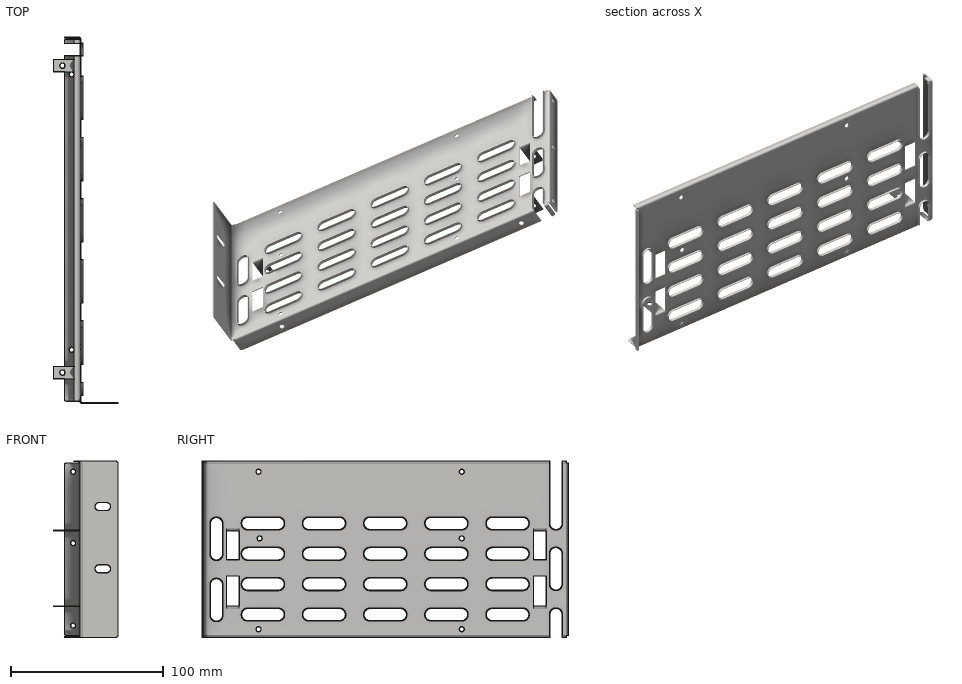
import cadquery as cq
import math

LENGTH = 240.0
WIDTH = 42.5
HEIGHT = 116.0

SHEET = 0.6
INNER_BEND = 0.7
BEND = SHEET + INNER_BEND
LEG = 2 * BEND
PANEL_OUT = 18.0
PANEL_IN = PANEL_OUT - SHEET
CUT = 4.8

FLANGE_EDGE = 7.2
TOP_FLANGE_EDGE = 13.7
BOTTOM_CORNER = 1.5
BACK_CORNER = 1.5
FRONT_CORNER = 2.0

SLOT_LENGTH = 27.8
SLOT_WIDTH = 8.0
RIM_WALL = 0.35
RIM_HEIGHT = 1.5
SLOT_COLUMNS = 5
SLOT_ROWS = 4
COLUMN_PITCH = 40.0
ROW_PITCH = 20.0
FIRST_ROW_Z = 15.0
FRONT_SLOT_Y = 9.4
FRONT_SLOT_Z = (24.7, 64.8)
BACK_SLOT_Y = LENGTH - 8.2
BACK_SLOT_Z = 45.0
UPPER_NOTCH_END = 70.8
LOWER_NOTCH_END = 19.2

TAB_WIDTH = 8.2
TAB_Y = (20.2, LENGTH - 18.7)
TAB_HOLE_X = 6.0
TAB_HOLE = 3.4
UPPER_WINDOW = (51.0, 69.8)
LOWER_WINDOW = (21.0, 40.3)

SCREW_HOLE = 3.0
PANEL_HOLE_Z = (5.5, 65.0, 108.7)
BACK_PANEL_HOLE_Y = LENGTH - 69.8
FRONT_PANEL_HOLE_Y = (37.0, 37.7, 37.0)
BOTTOM_HOLE_X = 12.0
BOTTOM_HOLE_Y = (35.0, LENGTH - 24.5)
BACK_HOLE_X = 13.0
BACK_HOLE_Z = (8.0, 62.0, 108.7)

MOUNT_SLOT_LENGTH = 10.0
MOUNT_SLOT_WIDTH = 5.0
MOUNT_SLOT_X = 32.5
MOUNT_SLOT_Z = (45.0, 86.0)


def box(x, y, z):
    """Box spanning the given (low, high) pairs."""
    size = [high - low for low, high in (x, y, z)]
    return cq.Workplane("XY").box(*size, centered=False).translate((x[0], y[0], z[0]))


def bent_strip(plane, corner, legs, depth):
    """Bent L strip: two legs measured from the outer corner, extruded along the plane normal."""
    u, v = corner
    leg_u, leg_v = legs

    def offset(du, dv):
        return (u + math.copysign(du, leg_u), v + math.copysign(dv, leg_v))

    long_u, long_v = abs(leg_u), abs(leg_v)
    diagonal = math.cos(math.pi / 4)
    outer_middle = BEND - BEND * diagonal
    inner_middle = BEND - INNER_BEND * diagonal
    return (
        cq.Workplane(plane)
        .moveTo(*offset(long_u, 0))
        .lineTo(*offset(BEND, 0))
        .threePointArc(offset(outer_middle, outer_middle), offset(0, BEND))
        .lineTo(*offset(0, long_v))
        .lineTo(*offset(SHEET, long_v))
        .lineTo(*offset(SHEET, BEND))
        .threePointArc(offset(inner_middle, inner_middle), offset(BEND, SHEET))
        .lineTo(*offset(long_u, SHEET))
        .close()
        .extrude(depth)
    )


def slot_prism(y, z, length, width, angle, x):
    """Slot shaped prism along X through the panel; angle 0 lies along Y, 90 along Z."""
    return (
        cq.Workplane("YZ", origin=(x[0], 0, 0))
        .center(y, z)
        .slot2D(length, width, angle)
        .extrude(x[1] - x[0])
    )


def make_edges():
    """Panel with its top, bottom, back and front flanges."""
    run = LENGTH - 2 * BEND
    panel = box((PANEL_IN, PANEL_OUT), (BEND, LENGTH - BEND), (BEND, HEIGHT - BEND))

    bottom = bent_strip("XZ", (PANEL_OUT, 0), (FLANGE_EDGE - PANEL_OUT, LEG), -run)
    bottom = bottom.translate((0, BEND, 0))
    bottom = bottom.edges("|Z and <X").fillet(BOTTOM_CORNER)

    top = bent_strip("XZ", (PANEL_OUT, HEIGHT), (TOP_FLANGE_EDGE - PANEL_OUT, -LEG), -run)
    top = top.translate((0, BEND, 0))

    back_height = HEIGHT - 2 * BEND
    back = bent_strip("XY", (PANEL_OUT, LENGTH), (FLANGE_EDGE - PANEL_OUT, -LEG), back_height)
    back = back.translate((0, 0, BEND))
    back = back.edges("|Y and <X").fillet(BACK_CORNER)

    front = bent_strip("XY", (PANEL_IN, 0), (WIDTH - PANEL_IN, LEG), HEIGHT)
    front = front.edges("|Y and >X").fillet(FRONT_CORNER)

    return panel.union(bottom).union(top).union(back).union(front)


def panel_slots():
    """Placement of every rimmed slot as (y, z, length, angle)."""
    first_column = (LENGTH - (SLOT_COLUMNS - 1) * COLUMN_PITCH) / 2
    slots = [
        (first_column + column * COLUMN_PITCH, FIRST_ROW_Z + row * ROW_PITCH, SLOT_LENGTH, 0)
        for column in range(SLOT_COLUMNS)
        for row in range(SLOT_ROWS)
    ]
    slots += [(FRONT_SLOT_Y, z, SLOT_LENGTH, 90) for z in FRONT_SLOT_Z]
    slots.append((BACK_SLOT_Y, BACK_SLOT_Z, SLOT_LENGTH, 90))

    slots.append((BACK_SLOT_Y, HEIGHT, 2 * (HEIGHT - UPPER_NOTCH_END), 90))
    slots.append((BACK_SLOT_Y, 0, 2 * LOWER_NOTCH_END, 90))
    return slots


def add_slots(body):
    """Raise a rim on the +X face around every slot, then cut the slots through."""
    rim_range = (PANEL_IN, PANEL_OUT + RIM_HEIGHT)
    flat_zone = box(rim_range, (0, LENGTH), (BEND, HEIGHT - BEND))
    for y, z, length, angle in panel_slots():
        rim = slot_prism(y, z, length + 2 * RIM_WALL, SLOT_WIDTH + 2 * RIM_WALL, angle, rim_range)
        body = body.union(rim.intersect(flat_zone))
    for y, z, length, angle in panel_slots():
        body = body.cut(slot_prism(y, z, length, SLOT_WIDTH, angle, (0, WIDTH)))
    return body


def add_tabs(body):
    """Cut the four windows and fold a drilled tab out of the far end of each."""
    upper_low, upper_tab = UPPER_WINDOW
    lower_tab, lower_high = LOWER_WINDOW
    cut_range = (PANEL_IN - CUT, PANEL_OUT + CUT)
    for y in TAB_Y:
        span = (y - TAB_WIDTH / 2, y + TAB_WIDTH / 2)
        body = body.cut(box(cut_range, span, (upper_low, upper_tab + BEND)))
        body = body.cut(box(cut_range, span, (lower_tab - BEND, lower_high)))
        for tab_z, rise in ((upper_tab, LEG), (lower_tab, -LEG)):
            tab = bent_strip("XZ", (PANEL_OUT, tab_z), (-PANEL_OUT, rise), -TAB_WIDTH)
            hole = cq.Workplane("XY", origin=(TAB_HOLE_X, y, tab_z)).circle(TAB_HOLE / 2)
            body = body.union(tab.translate((0, span[0], 0)).cut(hole.extrude(CUT, both=True)))
    return body


def drill_screw_holes(body):
    """Screw holes through the panel, the bottom flange and the back flange."""
    places = [("YZ", (PANEL_OUT, y, z)) for y, z in zip(FRONT_PANEL_HOLE_Y, PANEL_HOLE_Z)]
    places += [("YZ", (PANEL_OUT, BACK_PANEL_HOLE_Y, z)) for z in PANEL_HOLE_Z]
    places += [("XY", (BOTTOM_HOLE_X, y, 0)) for y in BOTTOM_HOLE_Y]
    places += [("XZ", (BACK_HOLE_X, LENGTH, z)) for z in BACK_HOLE_Z]
    for plane, origin in places:
        hole = cq.Workplane(plane, origin=origin).circle(SCREW_HOLE / 2).extrude(CUT, both=True)
        body = body.cut(hole)
    return body


def cut_mount_slots(body):
    """Elongated mounting slots through the front flange."""
    for z in MOUNT_SLOT_Z:
        slot = (
            cq.Workplane("XZ", origin=(MOUNT_SLOT_X, 0, z))
            .slot2D(MOUNT_SLOT_LENGTH, MOUNT_SLOT_WIDTH)
            .extrude(CUT, both=True)
        )
        body = body.cut(slot)
    return body


result = cut_mount_slots(drill_screw_holes(add_tabs(add_slots(make_edges()))))